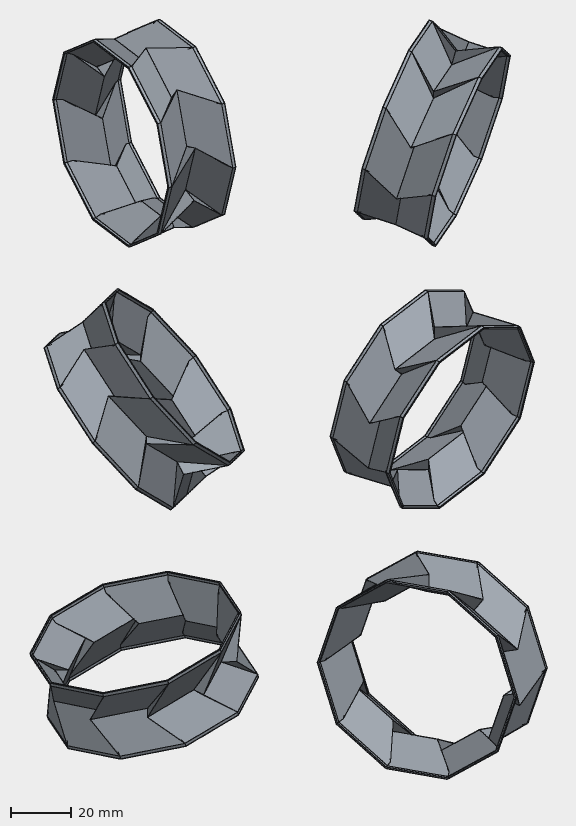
import cadquery as cq
import math

SIDES = 10
STEP = 2 * math.pi / SIDES
RIM_RADIUS = 35.91
RIM_WIDTH = 1.2
PLEAT_WIDTH = 12.0
WALL = 0.6
PANEL_LEAN = math.radians(30)
GUSSET_SHIFT = 10.0

HALF_WIDTH = PLEAT_WIDTH + RIM_WIDTH
RIM_APOTHEM = RIM_RADIUS * math.cos(STEP / 2)
CORNER_X = RIM_RADIUS * math.sin(STEP / 2)

PANEL_DROP = PLEAT_WIDTH * math.tan(PANEL_LEAN)
GUSSET_LEAN = math.atan2(GUSSET_SHIFT, PLEAT_WIDTH)


def ring_point(x, z, y, index):
    """Point given on the top panel, turned clockwise to panel number index."""
    angle = index * STEP
    turned_x = x * math.cos(angle) + z * math.sin(angle)
    turned_z = z * math.cos(angle) - x * math.sin(angle)
    return cq.Vector(turned_x, y, turned_z)


def planar_face(points):
    return cq.Face.makeFromWires(cq.Wire.makePolygon(points, close=True))


def pleated_solid(inset):
    """Solid plug whose rim, panel and gusset faces lie inset below the outer faces of the ring."""
    panel_inset = inset / math.cos(PANEL_LEAN)
    gusset_inset = inset / math.cos(GUSSET_LEAN)

    rim_z = RIM_APOTHEM - inset
    rim_x = rim_z * math.tan(STEP / 2)
    fold = PLEAT_WIDTH + inset * math.tan(PANEL_LEAN / 2)

    waist_z = RIM_APOTHEM - PANEL_DROP - panel_inset
    lead_x = CORNER_X - GUSSET_SHIFT + gusset_inset
    trail_x = (lead_x - waist_z * math.sin(STEP)) / math.cos(STEP)

    tip_gap = gusset_inset + panel_inset * math.tan(STEP / 2)
    tip_fraction = tip_gap / (GUSSET_SHIFT - PANEL_DROP * math.tan(STEP / 2))
    tip_z = RIM_APOTHEM - panel_inset - tip_fraction * PANEL_DROP
    tip_x = tip_z * math.tan(STEP / 2)
    tip = PLEAT_WIDTH * (1 - tip_fraction)

    faces = []
    for side in (-1, 1):
        end_y = side * HALF_WIDTH
        fold_y = side * fold
        tip_y = side * tip
        faces.append(planar_face([ring_point(rim_x, rim_z, end_y, i) for i in range(SIDES)]))
        for i in range(SIDES):
            end_left = ring_point(-rim_x, rim_z, end_y, i)
            end_right = ring_point(rim_x, rim_z, end_y, i)
            fold_left = ring_point(-rim_x, rim_z, fold_y, i)
            fold_right = ring_point(rim_x, rim_z, fold_y, i)
            tip_left = ring_point(-tip_x, tip_z, tip_y, i)
            tip_right = ring_point(tip_x, tip_z, tip_y, i)
            trail = ring_point(trail_x, waist_z, 0, i)
            lead = ring_point(lead_x, waist_z, 0, i)
            next_trail = ring_point(trail_x, waist_z, 0, i + 1)

            panel = [fold_left, fold_right, lead, trail]
            if inset > 0:
                panel = [fold_left, fold_right, tip_right, lead, trail, tip_left]
            faces.append(planar_face([end_left, end_right, fold_right, fold_left]))
            faces.append(planar_face(panel))
            faces.append(planar_face([tip_right, next_trail, lead]))
    solid = cq.Solid.makeSolid(cq.Shell.makeShell(faces))
    return cq.Workplane("XZ").newObject([solid.fix()])


outer_body = pleated_solid(0)
inner_cavity = pleated_solid(WALL)

result = outer_body.cut(inner_cavity)